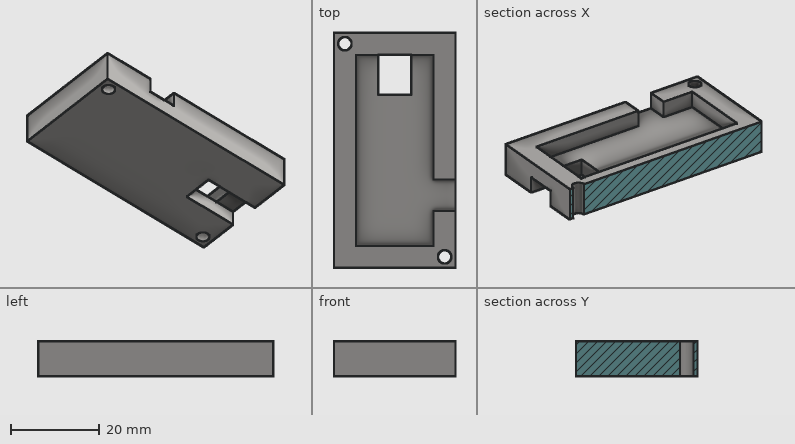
import cadquery as cq

width = 27.6
length = 53.3
height = 8.0

wall = 5.0
pocket_depth = 4.0
pocket_width = width - 2 * wall
pocket_length = length - 2 * wall
floor_height = height - pocket_depth

gap_start = 12.95
gap_length = 7.05

slot_width = 7.45
slot_tray_length = 9.0

hole_diameter = 3.0
hole_inset = wall / 2


def box_from(x, y, z, size_x, size_y, size_z):
    """Box with its lowest corner at (x, y, z)."""
    return cq.Workplane("XY").box(size_x, size_y, size_z, centered=False).translate((x, y, z))


block = box_from(0, 0, 0, width, length, height)
pocket = box_from(wall, wall, floor_height, pocket_width, pocket_length, pocket_depth)
gap = box_from(width - wall, gap_start, floor_height, wall, gap_length, pocket_depth)
slot = box_from(
    (width - slot_width) / 2,
    length - wall - slot_tray_length,
    0,
    slot_width,
    slot_tray_length + wall,
    floor_height,
)
holes = (
    cq.Workplane("XY")
    .pushPoints([(hole_inset, length - hole_inset), (width - hole_inset, hole_inset)])
    .circle(hole_diameter / 2)
    .extrude(height)
)

result = block.cut(pocket).cut(gap).cut(slot).cut(holes)